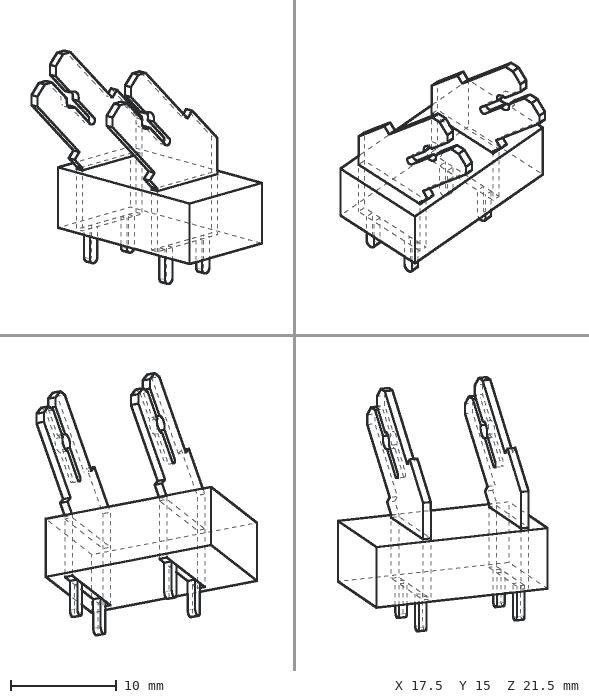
import cadquery as cq
import math

HOUSING_LENGTH = 17.5
HOUSING_DEPTH = 9.8
HOUSING_HEIGHT = 5.98

TERMINAL_THICKNESS = 0.8
FIRST_TERMINAL_X = -6.75
TERMINAL_PITCH = 10.0
TERMINAL_COUNT = 2
BODY_WIDTH = 8.08
BEND_ANGLE = 45
BEND_HEIGHT = 7.9

SHOULDER_DISTANCE = 3.12
BLADE_TIP_DISTANCE = 11.82
BLADE_WIDTH = 6.3
PRONG_CHAMFER = 0.69

SLOT_WIDTH = 0.7
SLOT_END_DISTANCE = 3.8
HOLE_DISTANCE = 7.52
HOLE_DIAMETER = 1.61

LEG_WIDTH = 1.0
LEG_PITCH = 4.99
LEG_LENGTH = 3.5

terminal_positions = [FIRST_TERMINAL_X + i * TERMINAL_PITCH for i in range(TERMINAL_COUNT)]


def plate(outline):
    """Extrude a closed YZ outline to the terminal thickness, centred on X = 0."""
    return outline.extrude(TERMINAL_THICKNESS / 2, both=True)


def make_upright():
    """Wide vertical part of a terminal, mitred at the bend; it starts at the housing bottom."""
    half_width = BODY_WIDTH / 2
    mitre_rise = half_width * math.tan(math.radians(BEND_ANGLE / 2))
    outline = cq.Workplane("YZ").polyline([
        (-half_width, 0),
        (half_width, 0),
        (half_width, BEND_HEIGHT + mitre_rise),
        (-half_width, BEND_HEIGHT - mitre_rise),
    ]).close()
    return plate(outline)


def make_slot_cutter():
    """Slot with a round inner end, open at the blade tip, plus its round hole."""
    radius = SLOT_WIDTH / 2
    slot = plate(
        cq.Workplane("YZ")
        .moveTo(-radius, BLADE_TIP_DISTANCE)
        .lineTo(-radius, SLOT_END_DISTANCE)
        .threePointArc((0, SLOT_END_DISTANCE - radius), (radius, SLOT_END_DISTANCE))
        .lineTo(radius, BLADE_TIP_DISTANCE)
        .close()
    )
    hole = plate(cq.Workplane("YZ").center(0, HOLE_DISTANCE).circle(HOLE_DIAMETER / 2))
    return slot.union(hole)


def make_blade():
    """Tilted part of a terminal: mitred body, shoulders and two chamfered prongs."""
    half_body = BODY_WIDTH / 2
    half_blade = BLADE_WIDTH / 2
    half_slot = SLOT_WIDTH / 2
    mitre_rise = half_body * math.tan(math.radians(BEND_ANGLE / 2))
    chamfer_start = BLADE_TIP_DISTANCE - PRONG_CHAMFER
    outline = cq.Workplane("YZ").polyline([
        (-half_body, mitre_rise),
        (-half_body, SHOULDER_DISTANCE),
        (-half_blade, SHOULDER_DISTANCE),
        (-half_blade, chamfer_start),
        (-half_blade + PRONG_CHAMFER, BLADE_TIP_DISTANCE),
        (-half_slot - PRONG_CHAMFER, BLADE_TIP_DISTANCE),
        (-half_slot, chamfer_start),
        (half_slot, chamfer_start),
        (half_slot + PRONG_CHAMFER, BLADE_TIP_DISTANCE),
        (half_blade - PRONG_CHAMFER, BLADE_TIP_DISTANCE),
        (half_blade, chamfer_start),
        (half_blade, SHOULDER_DISTANCE),
        (half_body, SHOULDER_DISTANCE),
        (half_body, -mitre_rise),
    ]).close()
    untilted_blade = plate(outline).cut(make_slot_cutter())
    tilted_blade = untilted_blade.rotate((0, 0, 0), (1, 0, 0), BEND_ANGLE)
    return tilted_blade.translate((0, 0, BEND_HEIGHT))


def make_leg(center_y):
    """Solder leg with a fully round tip, hanging below the upright."""
    radius = LEG_WIDTH / 2
    outline = (
        cq.Workplane("YZ")
        .moveTo(center_y - radius, 0)
        .lineTo(center_y - radius, radius - LEG_LENGTH)
        .threePointArc((center_y, -LEG_LENGTH), (center_y + radius, radius - LEG_LENGTH))
        .lineTo(center_y + radius, 0)
        .close()
    )
    return plate(outline)


def make_terminal(x):
    terminal = make_upright().union(make_blade())
    for side in (-1, 1):
        terminal = terminal.union(make_leg(side * LEG_PITCH / 2))
    return terminal.clean().translate((x, 0, 0))


def make_housing():
    """Block with one through slot fitting the upright of each terminal."""
    block = cq.Workplane("XY").box(
        HOUSING_LENGTH, HOUSING_DEPTH, HOUSING_HEIGHT, centered=(True, True, False)
    )
    for x in terminal_positions:
        slot = cq.Workplane("XY").center(x, 0).rect(TERMINAL_THICKNESS, BODY_WIDTH).extrude(HOUSING_HEIGHT)
        block = block.cut(slot)
    return block


housing = make_housing()
terminals = [make_terminal(x) for x in terminal_positions]

result = cq.Compound.makeCompound([
    *housing.solids().vals(),
    *[terminal.solids().val() for terminal in terminals],
])